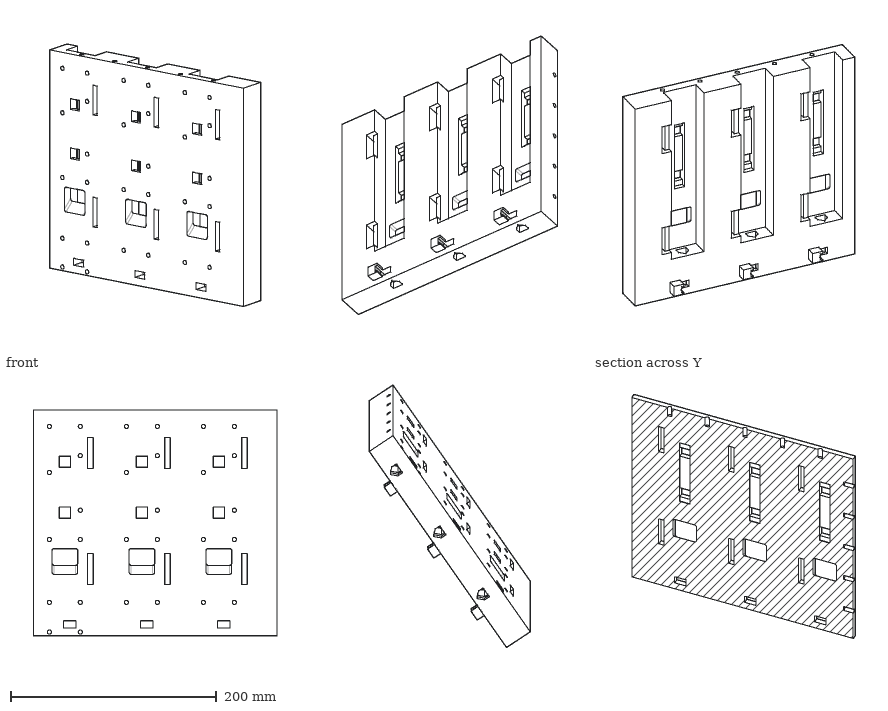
import cadquery as cq

width = 237.0
height = 220.0
body_depth = 28.0
total_depth = 37.0
wall = 10.0

station_count = 3
station_pitch = 75.0
station_centre = 30.5

pocket_width = 35.0
pocket_floor = 42.7

window_size = 10.7
window_heights = [120.0, 169.5]
channel_front = 13.3
channel_eaves = 18.7

opening_size = 25.0
opening_bottom = 60.0
opening_rise = 8.8
opening_radius = 2.0

slot_width = 5.2
slot_length = 29.9
slot_centre = 55.5
slot_bottoms = [50.2, 163.0]

strap_depth = 5.0
strap_groove_overrun = 5.5

outlet_left = 29.5
outlet_right = 41.2
outlet_bottom = 7.8
outlet_top = 14.7
lug_left = 38.9
lug_width = 11.0
lug_bottom = 6.5
lug_height = 11.0
recess_depth = 0.5
recess_bottom = 10.5
recess_slope_start = 11.4
recess_top = 13.0

hole_diameter = 4.0
hole_depth = 4.7
edge_hole_depth = 10.0
edge_hole_y = 5.2
hole_spacing = 30.0
hole_left = station_centre - hole_spacing / 2
hole_right = station_centre + hole_spacing / 2
left_hole_heights = [32.7, 93.9, 159.0, 203.8]
right_hole_heights = [32.7, 93.9, 122.3, 175.4, 203.8]
extra_hole_height = 3.8
edge_hole_count = 5
top_hole_start = 35.3
top_hole_pitch = 40.3
side_hole_pitch = 38.2
side_hole_start = (height - (edge_hole_count - 1) * side_hole_pitch) / 2


def box(x0, x1, y0, y1, z0, z1):
    """Axis-aligned block between two corners."""
    return cq.Workplane("XY").box(x1 - x0, y1 - y0, z1 - z0, centered=False).translate((x0, y0, z0))


def front_hole(x, z):
    """Blind round hole in the front face."""
    return cq.Workplane("XZ", origin=(x, 0, z)).circle(hole_diameter / 2).extrude(-hole_depth)


def lug():
    """Block standing out of the back face."""
    return box(lug_left, lug_left + lug_width, body_depth, total_depth, lug_bottom, lug_bottom + lug_height)


def pocket():
    left = station_centre - pocket_width / 2
    return box(left, left + pocket_width, wall, body_depth, pocket_floor, height)


def channel():
    """Upright channel with a 45 degree gable towards the back."""
    half = window_size / 2
    outline = [
        (station_centre - half, channel_front),
        (station_centre + half, channel_front),
        (station_centre + half, channel_eaves),
        (station_centre, channel_eaves + half),
        (station_centre - half, channel_eaves),
    ]
    return cq.Workplane("XY").polyline(outline).close().extrude(pocket_floor)


def window(z):
    half = window_size / 2
    return box(station_centre - half, station_centre + half, 0, wall, z - half, z + half)


def window_groove():
    """Strap groove in the pocket's front wall, joining the two windows and running past both."""
    half = window_size / 2
    bottom = window_heights[0] - half - strap_groove_overrun
    top = window_heights[-1] + half + strap_groove_overrun
    return box(station_centre - half, station_centre + half, wall - strap_depth, wall, bottom, top)


def opening():
    """Rounded square hole through the wall whose floor slopes up to the back."""
    top = opening_bottom + opening_size
    return (
        cq.Workplane("YZ", origin=(station_centre - opening_size / 2, 0, 0))
        .moveTo(0, opening_bottom)
        .lineTo(wall, opening_bottom + opening_rise)
        .lineTo(wall, top)
        .lineTo(0, top)
        .close()
        .extrude(opening_size)
        .faces("<X or >X")
        .edges("not |Z")
        .fillet(opening_radius)
    )


def slot(z):
    left = slot_centre - slot_width / 2
    return box(left, left + slot_width, 0, body_depth, z, z + slot_length)


def slot_relief(z):
    """Lowers the back of the rib between pocket and slot so that a strap lies below the back face."""
    pocket_right = station_centre + pocket_width / 2
    return box(pocket_right, slot_centre, body_depth - strap_depth, body_depth, z, z + slot_length)


def outlet():
    """Passage through plate and lug, with a shallow undercut in its right-hand wall."""
    passage = box(outlet_left, outlet_right, 0, total_depth, outlet_bottom, outlet_top)
    undercut = (
        cq.Workplane("XZ", origin=(outlet_right, body_depth, 0))
        .moveTo(0, recess_bottom)
        .lineTo(recess_depth, recess_bottom)
        .lineTo(recess_depth, recess_slope_start)
        .lineTo(0, recess_top)
        .close()
        .extrude(body_depth - total_depth)
    )
    return passage.union(undercut)


def station_holes():
    holes = [front_hole(hole_left, z) for z in left_hole_heights]
    return holes + [front_hole(hole_right, z) for z in right_hole_heights]


result = box(0, width, 0, body_depth, 0, height)
cuts = [pocket(), channel(), opening(), window_groove(), outlet()]
cuts += [window(z) for z in window_heights]
cuts += [slot(z) for z in slot_bottoms]
cuts += [slot_relief(z) for z in slot_bottoms]
cuts += station_holes()

for station in range(station_count):
    shift = (station * station_pitch, 0, 0)
    result = result.union(lug().translate(shift))
    for cut in cuts:
        result = result.cut(cut.translate(shift))

for x in (hole_left, hole_right):
    result = result.cut(front_hole(x, extra_hole_height))

for i in range(edge_hole_count):
    top_hole = cq.Workplane("XY", origin=(top_hole_start + i * top_hole_pitch, edge_hole_y, height))
    result = result.cut(top_hole.circle(hole_diameter / 2).extrude(-edge_hole_depth))
    side_hole = cq.Workplane("YZ", origin=(0, edge_hole_y, side_hole_start + i * side_hole_pitch))
    result = result.cut(side_hole.circle(hole_diameter / 2).extrude(edge_hole_depth))